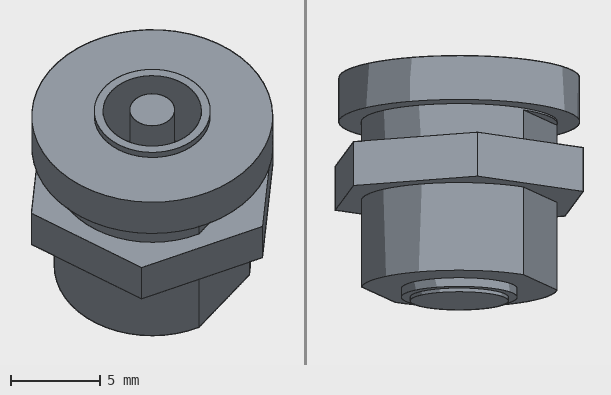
import cadquery as cq

hex_corner_width = 15.0
flange_diameter = 13.5
body_diameter = 11.0
body_flat_width = 9.8
sleeve_diameter = 6.5
bore_diameter = 5.5
pin_diameter = 2.5

nut_thickness = 2.5
flange_thickness = 2.5
nut_bottom = 5.0
flange_bottom = 9.5
flange_top = flange_bottom + flange_thickness
body_collar_height = 0.1
sleeve_bottom = -0.5
sleeve_top = flange_top + 0.4
insulator_bottom = -0.7
pin_top = flange_top + 0.5
cavity_floor = nut_bottom + nut_thickness


def cylinder(diameter, bottom, top):
    """Solid cylinder about Z between two heights."""
    return cq.Workplane("XY").workplane(offset=bottom).circle(diameter / 2).extrude(top - bottom)


def flatted_body():
    """Round body with two flats facing +X and -X, full round just under the flange."""
    flats_top = flange_bottom - body_collar_height
    flat_block = cq.Workplane("XY").rect(body_flat_width, body_diameter).extrude(flats_top)
    collar = cylinder(body_diameter, flats_top, flange_bottom)
    return cylinder(body_diameter, 0, flats_top).intersect(flat_block).union(collar)


def hex_nut():
    """Hexagonal nut with corners on the X axis."""
    nut_plane = cq.Workplane("XY").workplane(offset=nut_bottom)
    return nut_plane.polygon(6, hex_corner_width).extrude(nut_thickness)


flange = cylinder(flange_diameter, flange_bottom, flange_top)
sleeve = cylinder(sleeve_diameter, sleeve_bottom, sleeve_top)
insulator = cylinder(bore_diameter, insulator_bottom, cavity_floor)
cavity = cylinder(bore_diameter, cavity_floor, sleeve_top)
center_pin = cylinder(pin_diameter, insulator_bottom, pin_top)

shell = flatted_body().union(hex_nut()).union(flange).union(sleeve)
result = shell.cut(cavity).union(insulator).union(center_pin)